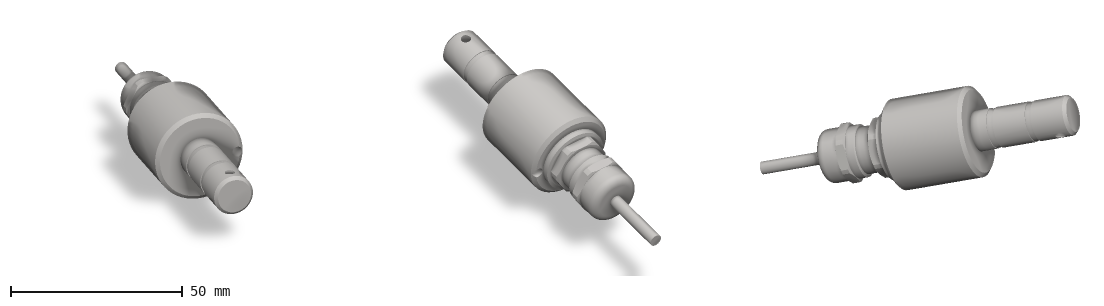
import cadquery as cq
import math


cable_diameter = 3.7
cable_free_length = 20.0

cap_diameter = 16.0
cap_face_x = cable_free_length
cap_length = 12.5
cap_end_x = cap_face_x + cap_length
cap_dome_radius = 2.4
cap_collar_diameter = 15.7
cap_rim_bevel_width = 0.3
cap_rim_bevel_depth = 0.5
cap_hex_x = 26.6

hex_across_flats = 16.1
hex_corner_diameter = 17.7
hex_width = 3.1
hex_turn = 1.6
hex_bevel_width = 0.4
hex_bevel_depth = 0.8

neck_diameter = 14.0
gland_hex_x = 36.8
flange_x = gland_hex_x + hex_width
flange_diameter = 20.0
flange_face_diameter = 17.9
flange_bevel_width = 0.3

total_length = 98.5
housing_x = 42.5
housing_diameter = 27.0
housing_length = 26.0
housing_bevel_width = 1.0
housing_bevel_depth = 1.2
housing_end_x = housing_x + housing_length
probe_diameter = 12.0
probe_end_diameter = 10.1
probe_chamfer = (probe_diameter - probe_end_diameter) / 2
groove_diameter = 11.5
inner_groove_x = 73.5
inner_groove_width = 2.0
outer_groove_x = 85.7
outer_groove_width = 1.8
hole_diameter = 3.0
cross_hole_end_distance = 4.0
cross_hole_x = total_length - cross_hole_end_distance
vent_hole_diameter = 3.2
vent_hole_y = (flange_diameter + vent_hole_diameter) / 2


def cylinder(start_x, end_x, diameter):
    """Solid cylinder on the X axis between two stations."""
    disc = cq.Workplane("YZ", origin=(start_x, 0, 0)).circle(diameter / 2)
    return disc.extrude(end_x - start_x)


def bevel_end(body, face, width, depth):
    """Bevel the rim of a cylinder's end face: width along X, depth along the radius."""
    end_face = body.faces(face).val()
    solid = body.val().chamfer(width, depth, end_face.Edges())
    return cq.Workplane(solid)


def hexagon(start_x, *beveled_faces):
    """Hexagon with its corners turned to a cylinder and beveled at the given end faces."""
    across_corners = hex_across_flats / math.cos(math.pi / 6)
    prism = cq.Workplane("YZ", origin=(start_x, 0, 0)).polygon(6, across_corners).extrude(hex_width)
    prism = prism.rotate((0, 0, 0), (1, 0, 0), hex_turn)
    blank = cylinder(start_x, start_x + hex_width, hex_corner_diameter)
    for face in beveled_faces:
        blank = bevel_end(blank, face, hex_bevel_width, hex_bevel_depth)
    return prism.intersect(blank)


def make_cable():
    return cylinder(0, cap_end_x, cable_diameter)


def make_cap():
    dome = cylinder(cap_face_x, cap_hex_x, cap_diameter).faces("<X").edges().fillet(cap_dome_radius)
    collar = cylinder(cap_hex_x, cap_end_x, cap_collar_diameter)
    collar = bevel_end(collar, ">X", cap_rim_bevel_width, cap_rim_bevel_depth)
    cap = dome.union(collar).union(hexagon(cap_hex_x, "<X", ">X"))
    return cap.cut(cylinder(cap_face_x, cap_end_x, cable_diameter))


def make_gland_body():
    neck = cylinder(cap_end_x, gland_hex_x, neck_diameter)
    bevel_depth = (flange_diameter - flange_face_diameter) / 2
    flange = cylinder(flange_x, housing_x, flange_diameter)
    for face in ("<X", ">X"):
        flange = bevel_end(flange, face, flange_bevel_width, bevel_depth)
    return neck.union(hexagon(gland_hex_x, "<X")).union(flange)


def groove(start_x, width):
    """Ring of material to remove for a groove around the probe tube."""
    ring = cylinder(start_x, start_x + width, housing_diameter)
    return ring.cut(cylinder(start_x, start_x + width, groove_diameter))


def make_housing():
    housing = cylinder(housing_x, housing_end_x, housing_diameter)
    for face in ("<X", ">X"):
        housing = bevel_end(housing, face, housing_bevel_width, housing_bevel_depth)
    probe = cylinder(housing_end_x, total_length, probe_diameter)
    probe = probe.faces(">X").edges().chamfer(probe_chamfer)
    housing = housing.union(probe)

    housing = housing.cut(groove(inner_groove_x, inner_groove_width))
    housing = housing.cut(groove(outer_groove_x, outer_groove_width))

    cross_hole = cq.Workplane("XY", origin=(cross_hole_x, 0, 0)).circle(hole_diameter / 2)
    housing = housing.cut(cross_hole.extrude(probe_diameter, both=True))

    vent_hole = cylinder(housing_x, housing_end_x, vent_hole_diameter).translate((0, vent_hole_y, 0))
    return housing.cut(vent_hole)


cable = make_cable()
cap = make_cap()
gland_body = make_gland_body()
housing = make_housing()

result = cq.Compound.makeCompound([cable.val(), cap.val(), gland_body.val(), housing.val()])